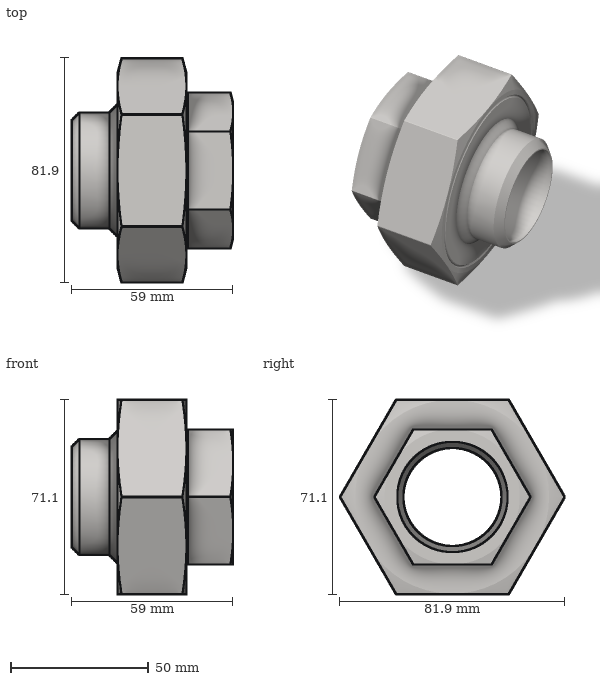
import cadquery as cq
import math


total_length = 59
nut_start = 16.7
nut_length = 25.2
nut_end = nut_start + nut_length
neck_length = 0.5
socket_start = nut_end + neck_length

pipe_diameter = 42.4
pipe_radius = pipe_diameter / 2
pipe_bevel = 2.9
bore_radius = 17.85
shoulder_radius = 24.15
shoulder_flare = shoulder_radius - pipe_radius

nut_across_flats = 71.1
nut_corner_diameter = 81.9
socket_across_flats = 49.4
socket_corner_diameter = 56.9
corner_chamfer_angle = 15
nut_chamfer_inset = 0.2
neck_radius = 24.15

gap_inner_radius = 32.8
gap_outer_radius = 33.1
gap_depth = 0.8
nut_lip_chamfer = 0.3
collar_chamfer = 0.5

socket_bore_radius = 20.15
bore_flare_start = 16.95
bore_flare_length = 2.9


def revolve_about_axis(points):
    """Solid of revolution about X from (axial position, radius) points."""
    return cq.Workplane("XY").polyline(points).close().revolve(360, (0, 0, 0), (1, 0, 0))


def hexagon(start, end, across_flats, corner_diameter):
    """Hexagonal bar along X, two corners on the Y axis, all corners turned round."""
    base = cq.Workplane("YZ").workplane(offset=start)
    sharp_diameter = across_flats / math.cos(math.radians(30))
    bar = base.polygon(6, sharp_diameter).extrude(end - start)
    turned_bar = base.circle(corner_diameter / 2).extrude(end - start)
    return bar.intersect(turned_bar)


def corner_cone(end, inward, end_radius, corner_radius):
    """Ring that trims the hexagon corners at one end; inward is +1 or -1 along X."""
    setback = (corner_radius - end_radius) * math.tan(math.radians(corner_chamfer_angle))
    return revolve_about_axis(
        [
            (end, end_radius),
            (end + 2 * inward * setback, 2 * corner_radius - end_radius),
            (end, 2 * corner_radius - end_radius),
        ]
    )


def make_nipple():
    return revolve_about_axis(
        [
            (0, 0),
            (0, pipe_radius - pipe_bevel),
            (pipe_bevel, pipe_radius),
            (nut_start - shoulder_flare, pipe_radius),
            (nut_start, shoulder_radius),
            (nut_start, 0),
        ]
    )


def make_nut():
    corner_radius = nut_corner_diameter / 2
    end_radius = nut_across_flats / 2 - nut_chamfer_inset
    nut = hexagon(nut_start, nut_end, nut_across_flats, nut_corner_diameter)
    for end, inward in ((nut_start, 1), (nut_end, -1)):
        nut = nut.cut(corner_cone(end, inward, end_radius, corner_radius))
    return nut


def make_ring_gap():
    """Narrow groove with both rims chamfered."""
    return revolve_about_axis(
        [
            (nut_start, gap_inner_radius - collar_chamfer),
            (nut_start + collar_chamfer, gap_inner_radius),
            (nut_start + gap_depth, gap_inner_radius),
            (nut_start + gap_depth, gap_outer_radius),
            (nut_start + nut_lip_chamfer, gap_outer_radius),
            (nut_start, gap_outer_radius + nut_lip_chamfer),
        ]
    )


def make_socket_end():
    hexagon_end = hexagon(socket_start, total_length, socket_across_flats, socket_corner_diameter)
    trim = corner_cone(total_length, -1, socket_across_flats / 2, socket_corner_diameter / 2)
    neck = cq.Workplane("YZ").workplane(offset=nut_end).circle(neck_radius).extrude(neck_length)
    return hexagon_end.cut(trim).union(neck)


def make_bore():
    return revolve_about_axis(
        [
            (0, 0),
            (0, bore_radius),
            (bore_flare_start, bore_radius),
            (bore_flare_start + bore_flare_length, socket_bore_radius),
            (total_length, socket_bore_radius),
            (total_length, 0),
        ]
    )


result = (
    make_nipple()
    .union(make_nut())
    .union(make_socket_end())
    .cut(make_ring_gap())
    .cut(make_bore())
)